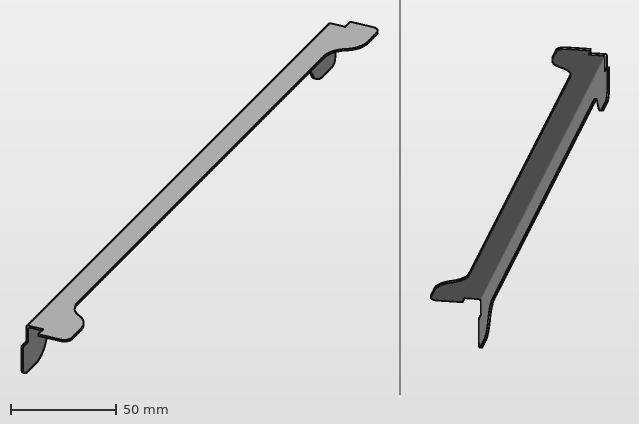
import cadquery as cq
import math

length = 340.5
flange_width = 25.0
thickness = 1.0
bend_radius = thickness
fold_size = thickness + bend_radius

strip_width = 12.3
notch_width = 9.0
notch_depth = 5.5
corner_radius = 4.0
foot_edge_end = 14.0
shoulder_angle = math.radians(60)

half_end = length / 2
arc_rise = (flange_width - strip_width) / 2
shoulder_radius = arc_rise / (1 - math.cos(shoulder_angle))
arc_run = shoulder_radius * math.sin(shoulder_angle)
half_arc_rise = shoulder_radius * (1 - math.cos(shoulder_angle / 2))
half_arc_run = shoulder_radius * math.sin(shoulder_angle / 2)
shoulder_start = half_end - foot_edge_end
shoulder_end = shoulder_start - 2 * arc_run


def flange_half_outline():
    """Outline of the +Y half of a flange; X runs outward from the fold."""
    corner_mid = corner_radius * (1 - math.sqrt(0.5))
    return (
        cq.Workplane("XY")
        .moveTo(0, 0)
        .lineTo(0, half_end - notch_depth)
        .lineTo(notch_width, half_end - notch_depth)
        .lineTo(notch_width, half_end)
        .lineTo(flange_width - corner_radius, half_end)
        .threePointArc(
            (flange_width - corner_mid, half_end - corner_mid),
            (flange_width, half_end - corner_radius),
        )
        .lineTo(flange_width, shoulder_start)
        .threePointArc(
            (flange_width - half_arc_rise, shoulder_start - half_arc_run),
            (flange_width - arc_rise, shoulder_start - arc_run),
        )
        .threePointArc(
            (strip_width + half_arc_rise, shoulder_end + half_arc_run),
            (strip_width, shoulder_end),
        )
        .lineTo(strip_width, 0)
        .close()
    )


def flange_outline_solid():
    """Full-length flange outline extruded through the depth of the part."""
    half = flange_half_outline().extrude(-flange_width)
    return half.union(half.mirror("XZ"))


def corner_box(size_x, size_y, size_z):
    """Box centred on Y that reaches +X and -Z from the corner of the fold."""
    box = cq.Workplane("XY").box(size_x, size_y, size_z, centered=(False, True, False))
    return box.translate((0, 0, -size_z))


def folded_sheet():
    """Plain L-section with a rounded fold along the -X, +Z edge."""
    block = corner_box(flange_width, length, flange_width)
    inside = block.translate((thickness, 0, -thickness))
    block = block.edges("<X and >Z").fillet(bend_radius)
    inside = inside.edges("<X and >Z").fillet(bend_radius)
    return block.cut(inside)


sheet = folded_sheet()
fold = sheet.intersect(corner_box(fold_size, length - 2 * notch_depth, fold_size))

top_outline = flange_outline_solid()
top_space = corner_box(flange_width, length, fold_size).translate((fold_size, 0, 0))
top_flange = sheet.intersect(top_space).intersect(top_outline)

side_outline = top_outline.rotate((0, 0, 0), (0, 1, 0), 90).translate((flange_width, 0, 0))
side_space = corner_box(fold_size, length, flange_width).translate((0, 0, -fold_size))
side_flange = sheet.intersect(side_space).intersect(side_outline)

result = fold.union(top_flange).union(side_flange)